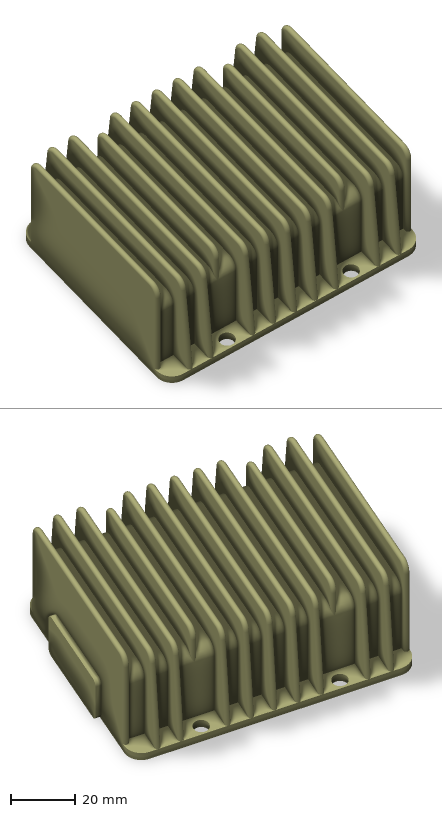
import cadquery as cq
import math

base_width = 79.0
base_thickness = 3.0
base_corner_radius = 6.0

total_height = 41.0
fin_count = 13
fin_pitch = 8.1
fin_thickness = 2.0
fin_corner_radius = 4.0
fin_taper = 6.0
fin_edge_radius = 0.49 * fin_thickness
short_fin_indices = (3, 9)
base_length = (fin_count - 1) * fin_pitch + fin_thickness

body_width = 62.8
body_height = 31.0
body_edge_radius = 4.0

hole_diameter = 5.5
hole_spacing_x = 72.0
hole_spacing_y = 48.0

overall_length = 101.0
pad_width = 34.0
pad_height = 17.0
pad_corner_radius = 2.0
pad_thickness = overall_length - base_length


def make_base():
    return (
        cq.Workplane("XY")
        .box(base_width, base_length, base_thickness, centered=(True, True, False))
        .edges("|Z")
        .fillet(base_corner_radius)
    )


def make_body():
    body_length = base_length - fin_thickness
    return (
        cq.Workplane("XY")
        .box(body_width, body_length, body_height, centered=(True, True, False))
        .edges("|Y and >Z")
        .fillet(body_edge_radius)
    )


def make_fin(bottom_width, taper, center_y):
    """Upright fin standing on the base, with rounded top corners and a rounded rim."""
    half_bottom = bottom_width / 2
    half_top = half_bottom - (total_height - base_thickness) * math.tan(math.radians(taper))
    fin = (
        cq.Workplane("XZ", origin=(0, center_y, 0))
        .moveTo(-half_bottom, base_thickness)
        .lineTo(half_bottom, base_thickness)
        .lineTo(half_top, total_height)
        .lineTo(-half_top, total_height)
        .close()
        .extrude(fin_thickness / 2, both=True)
        .edges("|Y and >Z")
        .fillet(fin_corner_radius)
    )
    return fin.edges("|X and >Z").fillet(fin_edge_radius)


def make_fins():
    end_width = base_width - 2 * base_corner_radius
    first_y = (fin_thickness - base_length) / 2
    fins = []
    for index in range(fin_count):
        center_y = first_y + index * fin_pitch
        if index in (0, fin_count - 1):
            fins.append(make_fin(end_width, 0, center_y))
        elif index in short_fin_indices:
            fins.append(make_fin(body_width, 0, center_y))
        else:
            fins.append(make_fin(base_width, fin_taper, center_y))
    return fins


def make_pad():
    return (
        cq.Workplane("XY", origin=(0, base_length / 2, 0))
        .box(pad_width, pad_thickness, pad_height, centered=(True, False, False))
        .edges("|Y")
        .fillet(pad_corner_radius)
    )


def make_hole_cutters():
    return (
        cq.Workplane("XY")
        .rect(hole_spacing_x, hole_spacing_y, forConstruction=True)
        .vertices()
        .circle(hole_diameter / 2)
        .extrude(base_thickness)
    )


result = make_base().union(make_body())
for fin in make_fins():
    result = result.union(fin)
result = result.union(make_pad()).cut(make_hole_cutters())